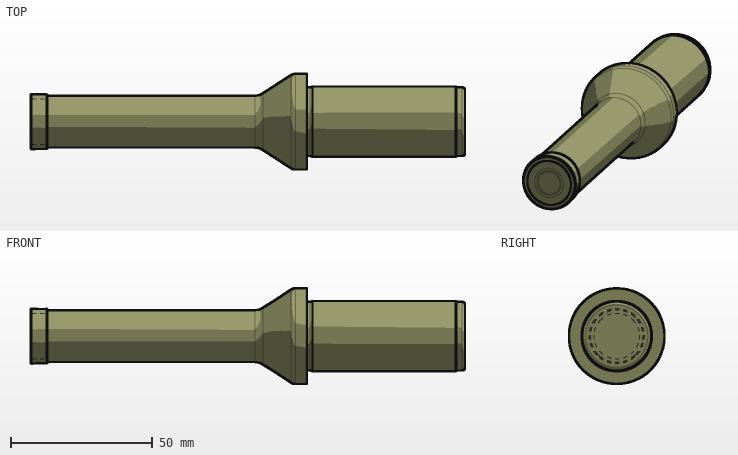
import cadquery as cq
import math


total_length = 154.0
head_length = 6.0
shank_length = 56.0
flange_face_x = total_length - shank_length

head_diameter = 19.6
head_back_diameter = 19.4
head_edge_chamfer = 0.3
head_back_chamfer = 0.2
face_slope = math.radians(2.0)
ring_bore_radius = 8.1
groove_outer_radius = 5.35
groove_bottom_radius = 4.5
groove_inner_radius = 4.1
groove_slope = math.radians(4.0)

neck_diameter = 18.5
flange_diameter = 34.0
cone_angle = math.radians(33.0)
neck_fillet = 5.0
flange_fillet = 3.0
flange_rim_width = 4.1
flange_back_fillet = 0.4

shank_diameter = 25.0
relief_diameter = 24.5
front_relief_length = 1.0
front_relief_runout = 1.0
end_relief_length = 3.0
end_relief_taper = 0.5
shank_end_fillet = 1.2


def revolve_about_x(profile):
    """Close an (x, radius) half profile and turn it into a solid about the X axis."""
    return profile.close().revolve(360, (0, 0, 0), (1, 0, 0))


def face_x(radius):
    """X of the conical end face at a given radius; its crest is the outer edge of the centre groove."""
    return (radius - groove_outer_radius) * math.tan(face_slope)


def make_cutting_ring():
    """Slightly back-tapered ring seated on the front spigot of the holder."""
    head_radius = head_diameter / 2
    rim_radius = head_radius - head_edge_chamfer
    profile = (
        cq.Workplane("XY")
        .moveTo(face_x(ring_bore_radius), ring_bore_radius)
        .lineTo(face_x(rim_radius), rim_radius)
        .lineTo(face_x(rim_radius) + head_edge_chamfer, head_radius)
        .lineTo(head_length - head_back_chamfer, head_back_diameter / 2)
        .lineTo(head_length, head_back_diameter / 2 - head_back_chamfer)
        .lineTo(head_length, ring_bore_radius)
    )
    return revolve_about_x(profile)


def fillet_point(tangent_x, centre_radius, fillet_radius, angle):
    """Point on a fillet arc, measured by its angle from the end that is tangent to a cylinder.

    A positive fillet radius bulges outwards towards -X, a negative one is hollow towards +X.
    """
    return (
        tangent_x - fillet_radius * math.sin(angle),
        centre_radius + fillet_radius * math.cos(angle),
    )


def make_holder():
    """Front spigot, neck, conical flange and relieved cylindrical shank in one piece."""
    neck_radius = neck_diameter / 2
    flange_radius = flange_diameter / 2
    shank_radius = shank_diameter / 2
    relief_radius = relief_diameter / 2

    rim_start_x = flange_face_x - flange_rim_width
    flange_centre_radius = flange_radius - flange_fillet
    flange_arc_mid = fillet_point(rim_start_x, flange_centre_radius, flange_fillet, cone_angle / 2)
    cone_large_end = fillet_point(rim_start_x, flange_centre_radius, flange_fillet, cone_angle)

    neck_centre_radius = neck_radius + neck_fillet
    cone_small_radius = neck_centre_radius - neck_fillet * math.cos(cone_angle)
    cone_length = (cone_large_end[1] - cone_small_radius) / math.tan(cone_angle)
    neck_end_x = cone_large_end[0] - cone_length - neck_fillet * math.sin(cone_angle)
    neck_arc_mid = fillet_point(neck_end_x, neck_centre_radius, -neck_fillet, cone_angle / 2)
    cone_small_end = fillet_point(neck_end_x, neck_centre_radius, -neck_fillet, cone_angle)

    groove_x = (groove_outer_radius - groove_bottom_radius) * math.tan(groove_slope)
    centre_x = groove_x - (groove_bottom_radius - groove_inner_radius) * math.tan(groove_slope)

    front_runout_x = flange_face_x + front_relief_length
    end_relief_x = total_length - end_relief_length
    end_fillet_x = total_length - shank_end_fillet

    profile = (
        cq.Workplane("XY")
        .moveTo(centre_x, 0)
        .lineTo(centre_x, groove_inner_radius)
        .lineTo(groove_x, groove_bottom_radius)
        .lineTo(face_x(groove_outer_radius), groove_outer_radius)
        .lineTo(face_x(ring_bore_radius), ring_bore_radius)
        .lineTo(head_length, ring_bore_radius)
        .lineTo(head_length, neck_radius)
        .lineTo(neck_end_x, neck_radius)
        .threePointArc(neck_arc_mid, cone_small_end)
        .lineTo(*cone_large_end)
        .threePointArc(flange_arc_mid, (rim_start_x, flange_radius))
        .lineTo(flange_face_x - flange_back_fillet, flange_radius)
        .tangentArcPoint((flange_face_x, flange_radius - flange_back_fillet), relative=False)
        .lineTo(flange_face_x, relief_radius)
        .lineTo(front_runout_x, relief_radius)
        .tangentArcPoint((front_runout_x + front_relief_runout, shank_radius), relative=False)
        .lineTo(end_relief_x - end_relief_taper, shank_radius)
        .lineTo(end_relief_x, relief_radius)
        .lineTo(end_fillet_x, relief_radius)
        .tangentArcPoint((total_length, relief_radius - shank_end_fillet), relative=False)
        .lineTo(total_length, 0)
    )
    return revolve_about_x(profile)


cutting_ring = make_cutting_ring()
holder = make_holder()
result = cq.Compound.makeCompound([cutting_ring.val(), holder.val()])